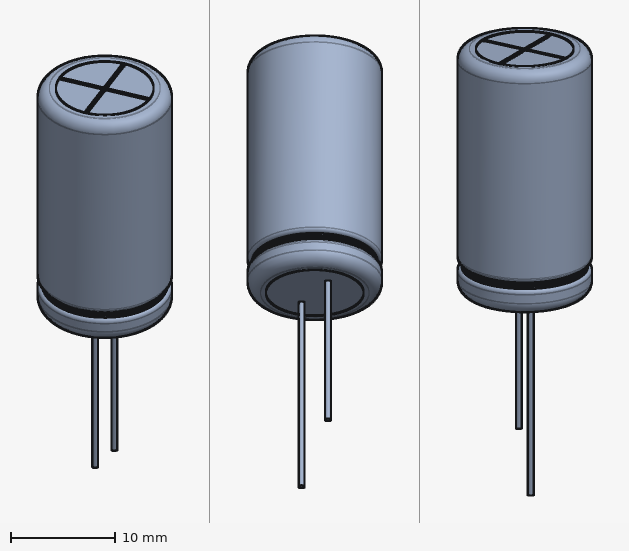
import cadquery as cq
import math

total_height = 45.0
can_bottom_z = 19.95
short_lead_tip_z = 5.0

sleeve_diameter = 12.95
sleeve_thickness = 0.1
sleeve_opening_diameter = 9.4
top_flat_diameter = 10.65
bottom_round = 1.25

groove_center_z = 22.9
groove_height = 0.68
groove_floor_diameter = 12.15

slot_height = 0.15
slot_floor_diameter = 11.95

vent_width = 0.3
vent_depth = 0.25
vent_angles = (45, 135)

lead_diameter = 0.6
lead_pitch = 5.0

sleeve_radius = sleeve_diameter / 2
top_round = (sleeve_diameter - top_flat_diameter) / 2
groove_depth = (sleeve_diameter - groove_floor_diameter) / 2
slot_depth = (groove_floor_diameter - slot_floor_diameter) / 2
can_top_z = total_height - sleeve_thickness
can_floor_z = can_bottom_z + sleeve_thickness


def arc_middle(center_r, center_z, radius, z_sign):
    """Middle of an outward-facing quarter arc that runs above (+1) or below (-1) its centre."""
    offset = radius * math.sqrt(0.5)
    return (center_r + offset, center_z + z_sign * offset)


def crimped_cylinder(inset):
    """Solid of revolution of the crimped can, with every surface moved inward by `inset`."""
    wall_r = sleeve_radius - inset
    groove_r = wall_r - groove_depth
    slot_r = groove_r - slot_depth

    top_z = total_height - inset
    top_radius = top_round - inset
    top_center = (wall_r - top_radius, top_z - top_radius)
    bottom_z = can_bottom_z + inset
    bottom_radius = bottom_round - inset
    bottom_center = (wall_r - bottom_radius, bottom_z + bottom_radius)

    half_groove = groove_height / 2 + inset
    half_slot = slot_height / 2 + inset
    groove_low_z = groove_center_z - half_groove
    groove_high_z = groove_center_z + half_groove
    slot_low_z = groove_center_z - half_slot
    slot_high_z = groove_center_z + half_slot

    low_lip_z = groove_low_z - groove_depth
    high_lip_z = groove_high_z + groove_depth

    profile = (
        cq.Workplane("XZ")
        .moveTo(0, bottom_z)
        .lineTo(bottom_center[0], bottom_z)
        .threePointArc(arc_middle(*bottom_center, bottom_radius, -1), (wall_r, bottom_center[1]))
        .lineTo(wall_r, low_lip_z)
        .threePointArc(arc_middle(groove_r, low_lip_z, groove_depth, 1), (groove_r, groove_low_z))
        .lineTo(groove_r, slot_low_z)
        .lineTo(slot_r, slot_low_z)
        .lineTo(slot_r, slot_high_z)
        .lineTo(groove_r, slot_high_z)
        .lineTo(groove_r, groove_high_z)
        .threePointArc(arc_middle(groove_r, high_lip_z, groove_depth, -1), (wall_r, high_lip_z))
        .lineTo(wall_r, top_center[1])
        .threePointArc(arc_middle(*top_center, top_radius, 1), (top_center[0], top_z))
        .lineTo(0, top_z)
        .close()
    )
    return profile.revolve(360, (0, 0, 0), (0, 1, 0))


def cylinder(diameter, bottom_z, top_z, x=0):
    return cq.Workplane("XY", origin=(x, 0, bottom_z)).circle(diameter / 2).extrude(top_z - bottom_z)


def make_sleeve():
    """Thin shrink sleeve wrapped around the can, open in the middle of both ends."""
    sleeve = crimped_cylinder(0).cut(crimped_cylinder(sleeve_thickness))
    return sleeve.cut(cylinder(sleeve_opening_diameter, can_bottom_z, total_height))


def cut_vent_cross(can):
    """Score two crossing grooves that end at the edge of the sleeve opening."""
    vent_floor_z = can_top_z - vent_depth
    opening = cylinder(sleeve_opening_diameter, vent_floor_z, can_top_z)
    for angle in vent_angles:
        groove = (
            cq.Workplane("XY", origin=(0, 0, vent_floor_z))
            .rect(sleeve_opening_diameter, vent_width)
            .extrude(vent_depth)
            .rotate((0, 0, 0), (0, 0, 1), angle)
        )
        can = can.cut(groove.intersect(opening))
    return can


def add_leads(can):
    """Join the long lead on -X and the short lead on +X to the floor of the can."""
    for x, tip_z in ((-lead_pitch / 2, 0), (lead_pitch / 2, short_lead_tip_z)):
        can = can.union(cylinder(lead_diameter, tip_z, can_floor_z, x))
    return can


sleeve = make_sleeve()
capacitor = add_leads(cut_vent_cross(crimped_cylinder(sleeve_thickness)))

result = cq.Compound.makeCompound([sleeve.val(), capacitor.val()])